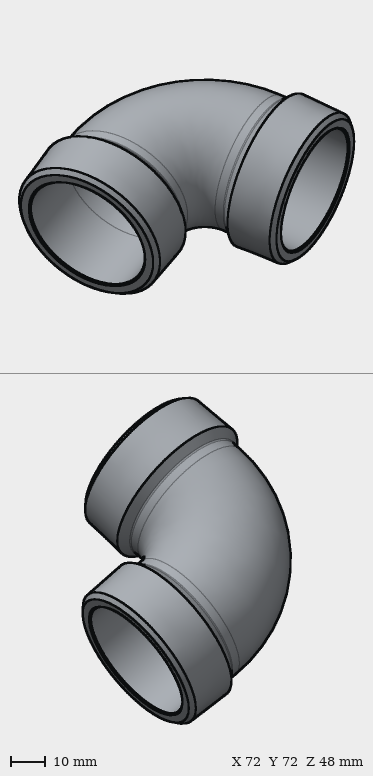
import cadquery as cq
import math

total_length = 72.0
collar_radius = 24.0
pipe_radius = 21.2
bore_radius = 19.0
bend_radius = 27.0
collar_length = 15.25
thread_taper = 1 / 16
end_chamfer = 1.45
bore_chamfer = 0.4
shoulder_angle = 45
shoulder_fillet = 0.7

end_distance = total_length - collar_radius
leg_length = end_distance - bend_radius
collar_end_radius = collar_radius - (collar_length - end_chamfer) * thread_taper / 2
end_face_radius = collar_end_radius - end_chamfer
shoulder_length = (collar_radius - pipe_radius) / math.tan(math.radians(shoulder_angle))
shoulder_foot = collar_length + shoulder_length


half_turn = math.radians(shoulder_angle / 2)
fillet_tangent = shoulder_fillet * math.tan(half_turn)
fillet_rise = fillet_tangent * math.sin(math.radians(shoulder_angle))
fillet_run = fillet_tangent * math.cos(math.radians(shoulder_angle))
fillet_start = shoulder_foot - fillet_run
fillet_end = shoulder_foot + fillet_tangent
fillet_mid_radius = pipe_radius + shoulder_fillet * (1 - math.cos(half_turn))
fillet_middle = fillet_end - shoulder_fillet * math.sin(half_turn)


def hollow_bend():
    """Quarter turn of pipe joining the two legs."""
    return (
        cq.Workplane("XZ", origin=(0, -bend_radius, 0))
        .circle(pipe_radius)
        .circle(bore_radius)
        .revolve(90, (bend_radius, 0, 0), (bend_radius, -1, 0))
    )


def hollow_leg():
    """Leg along -Y: straight pipe with a tapered, chamfered collar and a filleted shoulder."""
    def at(radius, distance_from_end):
        return (radius, distance_from_end - end_distance)

    return (
        cq.Workplane("XY")
        .moveTo(*at(bore_radius + bore_chamfer, 0))
        .lineTo(*at(end_face_radius, 0))
        .lineTo(*at(collar_end_radius, end_chamfer))
        .lineTo(*at(collar_radius, collar_length))
        .lineTo(*at(pipe_radius + fillet_rise, fillet_start))
        .threePointArc(at(fillet_mid_radius, fillet_middle), at(pipe_radius, fillet_end))
        .lineTo(*at(pipe_radius, leg_length))
        .lineTo(*at(bore_radius, leg_length))
        .lineTo(*at(bore_radius, bore_chamfer))
        .close()
        .revolve(360, (0, 0, 0), (0, 1, 0))
    )


y_leg = hollow_leg()
x_leg = y_leg.rotate((0, 0, 0), (0, 0, 1), 90)
result = hollow_bend().union(y_leg).union(x_leg)